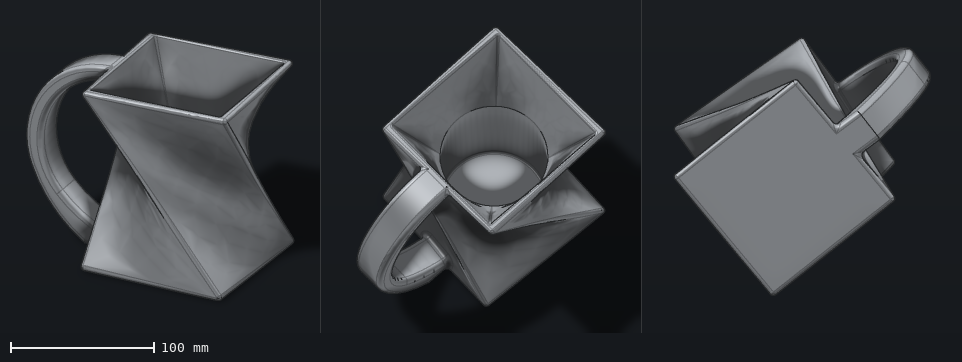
import cadquery as cq
import math

body_width = 114.3
body_height = 139.6
body_edge_radius = 2.5
bottom_edge_radius = 3.0

mouth_width = 101.7
mouth_edge_radius = 1.6
well_radius = 37.5
well_top = 90.4
floor_thickness = 6.4
floor_radius = 2.0

handle_reach = 120.1
handle_width = 26.0
handle_edge_radius = 3.9
handle_root_x = -51.4
outer_radius = 64.9
outer_arc_end = 201
heel_x = -74.5
inner_radius = 54.5
inner_center_x = -52.3
inner_center_z = 74.0
inner_arc_end = 222.6
foot_height = 10.6

top_joint_radius = 2.8
foot_joint_radius = 3.9

side_count = 4
tolerance = 0.2


def square_corner(index, width, z):
    """Corner of a centred square, counted counterclockwise from (-X, -Y)."""
    angle = math.radians(225 + 90 * index)
    reach = width / math.sqrt(2)
    return cq.Vector(reach * math.cos(angle), reach * math.sin(angle), z)


def square_edges(width, z, first=0):
    return [
        cq.Edge.makeLine(square_corner(i, width, z), square_corner(i + 1, width, z))
        for i in range(first, first + side_count)
    ]


def quarter_arc(index, radius, z):
    """Quarter circle on the same side as the square edge of that index."""
    angles = [math.radians(90 * index + start) for start in (225, 270, 315)]
    points = [cq.Vector(radius * math.cos(a), radius * math.sin(a), z) for a in angles]
    return cq.Edge.makeThreePointArc(*points)


def ruled_solid(top_edges, bottom_edges):
    """Solid whose side faces are ruled from each top edge to its bottom partner."""
    faces = [cq.Face.makeRuledSurface(top, bottom) for top, bottom in zip(top_edges, bottom_edges)]
    for outline in (top_edges, bottom_edges):
        faces.append(cq.Face.makeFromWires(cq.Wire.assembleEdges(outline)))
    solid = cq.Solid.makeSolid(cq.Shell.makeShell(faces)).fix()
    return cq.Workplane("XY").newObject([solid])


def on_rim_or_corner(edge):
    """True for the top edges and the four slanting corner edges of the body."""
    box = edge.BoundingBox()
    return box.zmin > body_height - tolerance or box.zlen > body_height / 2


def make_body():
    body = ruled_solid(square_edges(body_width, body_height), square_edges(body_width, 0, first=1))
    body = body.edges("<Z").fillet(bottom_edge_radius)
    return body.edges().filter(on_rim_or_corner).fillet(body_edge_radius)


def make_mouth():
    well_rim = [quarter_arc(i, well_radius, well_top) for i in range(side_count)]
    return ruled_solid(square_edges(mouth_width, body_height), well_rim)


def make_well():
    well = cq.Workplane("XY").workplane(offset=floor_thickness).circle(well_radius)
    well = well.extrude(well_top - floor_thickness)
    return well.faces("<Z").edges().fillet(floor_radius)


def arc_point(center_x, center_z, radius, degrees):
    angle = math.radians(degrees)
    return (center_x + radius * math.cos(angle), center_z + radius * math.sin(angle))


def make_handle():
    outer_circle = (outer_radius - handle_reach, body_height - outer_radius, outer_radius)
    inner_circle = (inner_center_x, inner_center_z, inner_radius)
    outside = (
        cq.Workplane("XZ")
        .moveTo(handle_root_x, body_height)
        .lineTo(*arc_point(*outer_circle, 90))
        .threePointArc(arc_point(*outer_circle, 150), arc_point(*outer_circle, outer_arc_end))
        .tangentArcPoint((heel_x, 0), relative=False)
        .lineTo(handle_root_x, 0)
        .close()
        .extrude(handle_width / 2, both=True)
    )
    opening = (
        cq.Workplane("XZ")
        .moveTo(handle_root_x, inner_center_z + inner_radius)
        .lineTo(*arc_point(*inner_circle, 90))
        .threePointArc(arc_point(*inner_circle, 150), arc_point(*inner_circle, inner_arc_end))
        .tangentArcPoint((handle_root_x, foot_height), relative=False)
        .close()
        .extrude(handle_width / 2, both=True)
    )
    handle = outside.cut(opening)
    return handle.faces("<Y or >Y").edges("not(|Z and >X)").fillet(handle_edge_radius)


def blend_joint(cup, z_low, z_high, radius):
    """Fillet the curved seam between handle and body within a height range."""
    reach_y = handle_width / 2 + tolerance
    seam_box = cq.selectors.BoxSelector(
        (-body_width / 2 - tolerance, -reach_y, z_low - tolerance),
        (handle_root_x, reach_y, z_high + tolerance),
        boundingbox=True,
    )
    return cup.edges(seam_box).edges("%BSPLINE").fillet(radius)


def on_mouth(edge):
    """True for the mouth's rim edges and the corner edges running down from it."""
    box = edge.BoundingBox()
    reach = max(-box.xmin, box.xmax, -box.ymin, box.ymax)
    return box.zmax > body_height - tolerance and reach < mouth_width / 2 + tolerance


middle = body_height / 2
cup = make_body().union(make_handle())
cup = blend_joint(cup, middle, body_height, top_joint_radius)
cup = blend_joint(cup, 0, middle, foot_joint_radius)
cup = cup.cut(make_mouth())
cup = cup.edges().filter(on_mouth).fillet(mouth_edge_radius)
result = cup.cut(make_well())